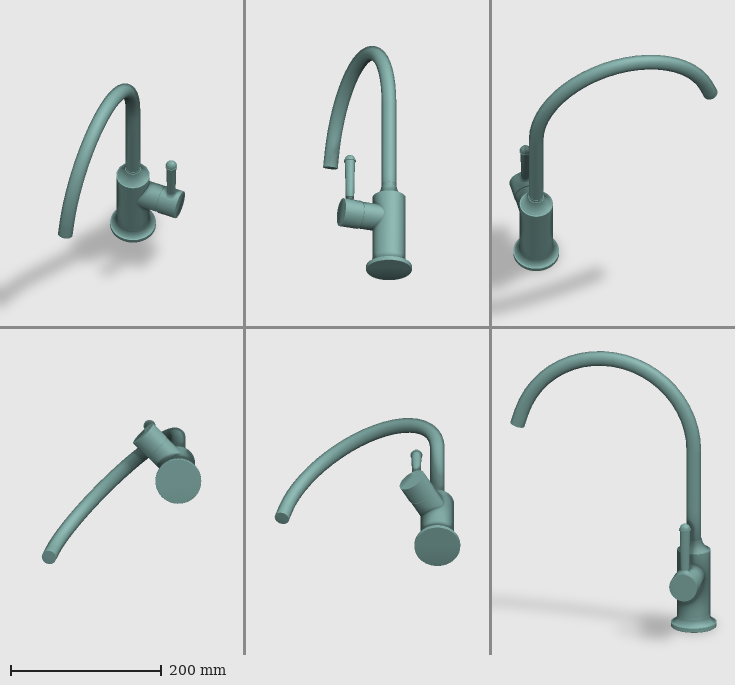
import cadquery as cq
import math

TOTAL_HEIGHT = 375.5
RIM_TOP = 5.5
FLARE_TOP = 12.8
FLANGE_TOP = 18.0
BODY_TOP = 107.5
COLLAR_FLARE_TOP = 122.0
COLLAR_TOP = 126.0
RING_TOP = 133.2

FLANGE_RADIUS = 30.5
FLARE_BASE_RADIUS = 28.5
FLARE_TOP_RADIUS = 22.5
BODY_RADIUS = 22.0
EDGE_CHAMFER = 0.5

COLLAR_BASE_RADIUS = 20.5
COLLAR_FLARE_RADIUS = 10.5
NECK_RADIUS = 9.5
NECK_HEIGHT = 0.8
FLARE_SAG = 0.12

TUBE_RADIUS = 9.8
BEND_RADIUS = 119.7
OUTLET_ANGLE = 18.0
OUTLET_LENGTH = 19.0
BEND_CENTRE_Z = TOTAL_HEIGHT - TUBE_RADIUS - BEND_RADIUS

BRANCH_Z = 75.0
BRANCH_RADIUS = 18.0
BRANCH_END = 40.5
GROOVE_RADIUS = 17.3
HUB_START = 42.0
HUB_END = 66.8
HUB_RADIUS = 18.8

LEVER_X = 54.8
FOOT_SINK = 2.0
FOOT_RADIUS = 9.0
LEVER_NECK_RADIUS = 4.0
FOOT_TOP = 97.0
STEM_BOTTOM = 98.5
STEM_BOTTOM_RADIUS = 5.5
STEM_TOP_RADIUS = 6.8
HEAD_BOTTOM = 152.0
HEAD_TOP = 154.0
HEAD_RADIUS = 8.0
DOME_RADIUS = 7.0


def flare_middle(lower, upper):
    """Middle point of a concave arc, moved in toward the axis and down."""
    dr = lower[0] - upper[0]
    dz = upper[1] - lower[1]
    return (
        (lower[0] + upper[0]) / 2 - FLARE_SAG * dz,
        (lower[1] + upper[1]) / 2 - FLARE_SAG * dr,
    )


def revolve_about_z(profile):
    return profile.close().revolve(360, (0, 0, 0), (0, 1, 0))


def disc_along_x(radius, start, end):
    plane = cq.Workplane("YZ", origin=(start, 0, BRANCH_Z))
    return plane.circle(radius).extrude(end - start)


def make_flange():
    lower = (FLARE_BASE_RADIUS, RIM_TOP)
    upper = (FLARE_TOP_RADIUS, FLARE_TOP)
    profile = (
        cq.Workplane("XZ")
        .lineTo(FLANGE_RADIUS - EDGE_CHAMFER, 0)
        .lineTo(FLANGE_RADIUS, EDGE_CHAMFER)
        .lineTo(FLANGE_RADIUS, RIM_TOP)
        .lineTo(*lower)
        .threePointArc(flare_middle(lower, upper), upper)
        .lineTo(BODY_RADIUS, FLANGE_TOP)
        .lineTo(0, FLANGE_TOP)
    )
    return revolve_about_z(profile)


def make_body():
    height = BODY_TOP - FLANGE_TOP
    body = cq.Workplane("XY", origin=(0, 0, FLANGE_TOP)).circle(BODY_RADIUS).extrude(height)
    return body.faces(">Z").edges().chamfer(EDGE_CHAMFER)


def make_collar():
    lower = (COLLAR_BASE_RADIUS, BODY_TOP)
    upper = (COLLAR_FLARE_RADIUS, COLLAR_FLARE_TOP)
    profile = (
        cq.Workplane("XZ")
        .moveTo(0, BODY_TOP)
        .lineTo(*lower)
        .threePointArc(flare_middle(lower, upper), upper)
        .lineTo(TUBE_RADIUS, COLLAR_FLARE_TOP)
        .lineTo(TUBE_RADIUS, COLLAR_TOP - NECK_HEIGHT)
        .lineTo(NECK_RADIUS, COLLAR_TOP - NECK_HEIGHT)
        .lineTo(NECK_RADIUS, COLLAR_TOP)
        .lineTo(0, COLLAR_TOP)
    )
    return revolve_about_z(profile)


def make_swivel_ring():
    plane = cq.Workplane("XY", origin=(0, 0, COLLAR_TOP))
    return plane.circle(TUBE_RADIUS).extrude(RING_TOP - COLLAR_TOP)


def make_spout():
    """Tube swept up a riser, round the bend toward -Y and along a straight outlet."""
    angle = math.radians(OUTLET_ANGLE)
    bend_end_y = -BEND_RADIUS * (1 + math.cos(angle))
    bend_end_z = BEND_CENTRE_Z + BEND_RADIUS * math.sin(angle)
    outlet_y = bend_end_y - OUTLET_LENGTH * math.sin(angle)
    outlet_z = bend_end_z - OUTLET_LENGTH * math.cos(angle)
    path = (
        cq.Workplane("YZ")
        .moveTo(0, RING_TOP)
        .lineTo(0, BEND_CENTRE_Z)
        .threePointArc((-BEND_RADIUS, BEND_CENTRE_Z + BEND_RADIUS), (bend_end_y, bend_end_z))
        .lineTo(outlet_y, outlet_z)
    )
    return cq.Workplane("XY", origin=(0, 0, RING_TOP)).circle(TUBE_RADIUS).sweep(path)


def make_branch(body):
    """Branch fitted to the outside of the body, with a narrow spigot against the hub."""
    sleeve = disc_along_x(BRANCH_RADIUS, 0, BRANCH_END)
    spigot = disc_along_x(GROOVE_RADIUS, BRANCH_END, HUB_START)
    return sleeve.union(spigot).cut(body)


def make_hub():
    return disc_along_x(HUB_RADIUS, HUB_START, HUB_END)


def make_lever(hub):
    """Tapered lever with a domed head, its flared foot fitted to the hub surface."""
    foot = (FOOT_RADIUS, BRANCH_Z + HUB_RADIUS - FOOT_SINK)
    foot_end = (LEVER_NECK_RADIUS, FOOT_TOP)
    dome_rise = DOME_RADIUS * math.sqrt(0.5)
    profile = (
        cq.Workplane("XZ")
        .moveTo(0, foot[1])
        .lineTo(*foot)
        .threePointArc(flare_middle(foot, foot_end), foot_end)
        .lineTo(LEVER_NECK_RADIUS, STEM_BOTTOM)
        .lineTo(STEM_BOTTOM_RADIUS, STEM_BOTTOM)
        .lineTo(STEM_TOP_RADIUS, HEAD_BOTTOM)
        .lineTo(HEAD_RADIUS, HEAD_BOTTOM)
        .lineTo(HEAD_RADIUS, HEAD_TOP)
        .lineTo(DOME_RADIUS, HEAD_TOP)
        .threePointArc((dome_rise, HEAD_TOP + dome_rise), (0, HEAD_TOP + DOME_RADIUS))
    )
    return revolve_about_z(profile).translate((LEVER_X, 0, 0)).cut(hub)


flange = make_flange()
body = make_body()
collar = make_collar()
swivel_ring = make_swivel_ring()
spout = make_spout()
branch = make_branch(body)
hub = make_hub()
lever = make_lever(hub)

result = cq.Compound.makeCompound([
    flange.val(),
    body.val(),
    collar.val(),
    swivel_ring.val(),
    spout.val(),
    branch.val(),
    hub.val(),
    lever.val(),
])